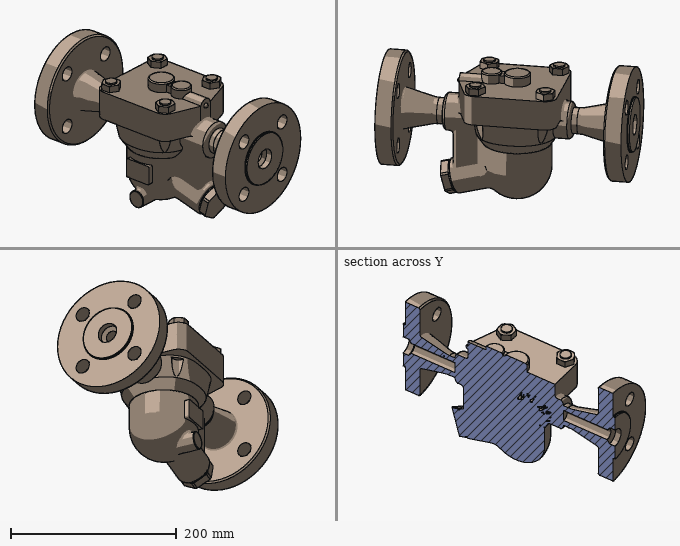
import cadquery as cq
import math


MARGIN = 0.3

FACE_TO_FACE = 309.0
FACE_DIA = 68.0
FACE_STEP = 0.8
FACE_STEP_LENGTH = 1.9
FACE_HEIGHT = 3.0
FLANGE_DIA = 140.0
FLANGE_THICKNESS = 22.0
FLANGE_CHAMFER = 2.0
HUB_DIA = 50.0
HUB_FILLET = 2.5
HUB_END_X = 91.1
WELD_END_X = 86.3
WELD_DIA = 32.5
PIPE_DIA = 32.0
NOSE_X = 79.2
NOSE_DIA = 35.5
NOSE_ROUND = 7.0
BOSS_X = 75.3
BOSS_DIA = 46.0
HOLE_CIRCLE_DIA = 100.0
HOLE_DIA = 18.0
HOLE_COUNT = 4
FIRST_HOLE_ANGLE = 45.0
BORE_DIA = 25.0
BORE_DEPTH = 8.0
CHANNEL_DIA = 15.0
CHANNEL_START = 11.5
CHANNEL_DEPTH = 75.0

BODY_X = -10.0
BOLT_OFFSET = 43.0
CORNER_RADIUS = 14.0
PLATE_BOTTOM = 7.0
PLATE_SEAM = 26.8
PLATE_TOP = 43.8
TIP_X = 60.2
TIP_HALF_WIDTH = 9.3
TIP_SLOPE = 20.0
PLATE_BOSS_FILLET = 3.5

NUT_FLATS = 21.0
NUT_CHAMFER_DIA = 22.0
NUT_CONE_ANGLE = 30.0
NUT_HEIGHT = 8.4
STUD_DIA = 14.0
STUD_HEIGHT = 10.3
SPOT_DIA = 18.0
SPOT_TOP = 4.5

KNOB_TOP = 56.4
KNOB_CHAMFER = 1.5
LARGE_KNOB_DIA = 32.0
SMALL_KNOB_DIA = 25.0
SMALL_KNOB_X = 21.7
WEB_WIDTH = 14.0
WEB_TOP = 53.5
DUCT_DIA = 18.0
DUCT_Z = 41.4
NUB_DIA = 6.4

VESSEL_RADIUS = 42.0
SPHERE_Z = -62.0
COLLAR_POINTS = 24
COLLAR_TOP_SIDE = 52.5
COLLAR_TOP_CORNER = 58.0
COLLAR_LOW_SIDE = 49.6
COLLAR_LOW_CORNER = 51.5
COLLAR_LOW_Z = -19.6
CONE_LOW_Z = -32.4
PAD_WIDTH = 36.0
PAD_TOP = -41.9
PAD_BOTTOM = -66.8
PAD_FACE_Y = -44.0
PAD_CORNER = 2.0

HOUSING_HALF_WIDTH = 17.0
HOUSING_END_X = 66.7
HOUSING_BOTTOM = -70.0
HOUSING_FOOT = 12.0
HOUSING_CORNER = 5.7
HOUSING_CHAMBER_FILLET = 15.0
HOUSING_BOSS_FILLET = 5.0
HOUSING_BRANCH_FILLET = 2.0

BRANCH_TILT = 15.0
BRANCH_RADIUS = 22.0
BRANCH_ROUND = 2.0
BRANCH_LENGTH = 80.0
BRANCH_FILLET = 16.5
GASKET_RADIUS = 19.5
PLUG_START = 81.8
PLUG_LENGTH = 9.6
PLUG_FLATS = 38.0
PLUG_ROUND_DIA = 42.3

DRAIN_DIA = 22.0
DRAIN_Z = -90.7
DRAIN_FACE_Y = -46.5
DRAIN_CHAMFER = 0.8
DRAIN_FILLET = 3.0


def upright_cylinder(x, y, diameter, bottom, top):
    return cq.Workplane("XY", origin=(x, y, bottom)).circle(diameter / 2).extrude(top - bottom)


def hexagon(plane, flats, height):
    return cq.Workplane(plane).polygon(6, flats / math.cos(math.pi / 6)).extrude(height)


def pipe_end():
    """Inlet flange, neck and boss, revolved about the pipe axis."""
    face_x = -FACE_TO_FACE / 2
    front_x = face_x + FACE_HEIGHT
    back_x = front_x + FLANGE_THICKNESS
    face_r = FACE_DIA / 2
    flange_r = FLANGE_DIA / 2
    hub_r = HUB_DIA / 2
    outline = (
        cq.Workplane("XY")
        .moveTo(face_x, 0)
        .lineTo(face_x, face_r - FACE_STEP)
        .lineTo(face_x + FACE_STEP_LENGTH, face_r - FACE_STEP)
        .lineTo(face_x + FACE_STEP_LENGTH, face_r)
        .lineTo(front_x, face_r)
        .lineTo(front_x, flange_r)
        .lineTo(back_x - FLANGE_CHAMFER, flange_r)
        .lineTo(back_x, flange_r - FLANGE_CHAMFER)
        .lineTo(back_x, hub_r + HUB_FILLET)
        .radiusArc((back_x + HUB_FILLET, hub_r), -HUB_FILLET)
        .lineTo(-HUB_END_X, WELD_DIA / 2)
        .lineTo(-WELD_END_X, WELD_DIA / 2)
        .lineTo(-WELD_END_X, PIPE_DIA / 2)
        .lineTo(-NOSE_X, PIPE_DIA / 2)
        .lineTo(-NOSE_X, NOSE_DIA / 2)
        .radiusArc((-BOSS_X, BOSS_DIA / 2), NOSE_ROUND)
        .lineTo(BODY_X, BOSS_DIA / 2)
        .lineTo(BODY_X, 0)
        .close()
    )
    end = outline.revolve(360, (0, 0, 0), (1, 0, 0))
    holes = (
        cq.Workplane("YZ", origin=(front_x, 0, 0))
        .polarArray(HOLE_CIRCLE_DIA / 2, FIRST_HOLE_ANGLE, 360, HOLE_COUNT)
        .circle(HOLE_DIA / 2)
        .extrude(FLANGE_THICKNESS)
    )
    return end.cut(holes)


def pipe_bore():
    """Stepped inlet bore with a conical shoulder, revolved about the pipe axis."""
    face_x = -FACE_TO_FACE / 2
    return (
        cq.Workplane("XY")
        .moveTo(face_x, 0)
        .lineTo(face_x, BORE_DIA / 2)
        .lineTo(face_x + BORE_DEPTH, BORE_DIA / 2)
        .lineTo(face_x + CHANNEL_START, CHANNEL_DIA / 2)
        .lineTo(face_x + CHANNEL_DEPTH, CHANNEL_DIA / 2)
        .lineTo(face_x + CHANNEL_DEPTH, 0)
        .close()
        .revolve(360, (0, 0, 0), (1, 0, 0))
    )


def both_ends(shape):
    return shape.union(shape.mirror("YZ"))


def plate(bottom, top):
    """Square plate with a blunt point over the outlet; its corners are round about the bolts."""
    slope = math.radians(TIP_SLOPE)
    left = BODY_X - BOLT_OFFSET
    right = BODY_X + BOLT_OFFSET
    edge_y = BOLT_OFFSET + CORNER_RADIUS
    slant_x = right + CORNER_RADIUS * math.cos(slope)
    slant_y = BOLT_OFFSET + CORNER_RADIUS * math.sin(slope)
    return (
        cq.Workplane("XY", origin=(0, 0, bottom))
        .moveTo(left, -edge_y)
        .lineTo(right, -edge_y)
        .radiusArc((slant_x, -slant_y), -CORNER_RADIUS)
        .lineTo(TIP_X, -TIP_HALF_WIDTH)
        .lineTo(TIP_X, TIP_HALF_WIDTH)
        .lineTo(slant_x, slant_y)
        .radiusArc((right, edge_y), -CORNER_RADIUS)
        .lineTo(left, edge_y)
        .radiusArc((left - CORNER_RADIUS, BOLT_OFFSET), -CORNER_RADIUS)
        .lineTo(left - CORNER_RADIUS, -BOLT_OFFSET)
        .radiusArc((left, -edge_y), -CORNER_RADIUS)
        .close()
        .extrude(top - bottom)
    )


def bolt_sides():
    """Signs of the four bolts along X and Y, seen from the chamber axis."""
    return [(side_x, side_y) for side_x in (-1, 1) for side_y in (-1, 1)]


def nut():
    """Nut with its upper corners turned to a cone, and the stud end standing out of it."""
    cone_angle = math.radians(NUT_CONE_ANGLE)
    cone_height = NUT_HEIGHT + NUT_CHAMFER_DIA / 2 * math.tan(cone_angle)
    cone = cq.Solid.makeCone(cone_height / math.tan(cone_angle), 0, cone_height)
    chamfered = hexagon("XY", NUT_FLATS, NUT_HEIGHT).intersect(cq.Workplane(cone))
    return chamfered.union(upright_cylinder(0, 0, STUD_DIA, 0, STUD_HEIGHT))


def bolt_nuts():
    """Four nuts on the cover; neighbouring nuts are turned by a quarter turn."""
    nuts = cq.Workplane("XY")
    for side_x, side_y in bolt_sides():
        turn = 0 if side_x == side_y else 90
        place = (BODY_X + side_x * BOLT_OFFSET, side_y * BOLT_OFFSET, PLATE_TOP)
        nuts = nuts.union(nut().rotate((0, 0, 0), (0, 0, 1), turn).translate(place))
    return nuts


def cover_bosses():
    """Two round knobs joined by a web, and a duct running to the tip of the cover."""
    knobs = cq.Workplane("XY")
    for x, diameter in ((BODY_X, LARGE_KNOB_DIA), (SMALL_KNOB_X, SMALL_KNOB_DIA)):
        knob = upright_cylinder(x, 0, diameter, PLATE_SEAM, KNOB_TOP)
        knobs = knobs.union(knob.faces(">Z").edges().chamfer(KNOB_CHAMFER))
    web = cq.Workplane("XY", origin=(BODY_X, 0, PLATE_SEAM)).box(
        SMALL_KNOB_X - BODY_X, WEB_WIDTH, WEB_TOP - PLATE_SEAM, centered=(False, True, False)
    )
    duct = (
        cq.Workplane("YZ", origin=(SMALL_KNOB_X, 0, DUCT_Z))
        .circle(DUCT_DIA / 2)
        .extrude(TIP_X - SMALL_KNOB_X)
    )
    nub = cq.Workplane("XY", origin=(TIP_X, 0, DUCT_Z)).sphere(NUB_DIA / 2)
    return knobs.union(web).union(duct).union(nub)


def collar_section(z, side_reach, corner_reach):
    """Superellipse about the chamber axis, reaching further at the corners than at the sides."""
    power = 1 / (0.5 - math.log2(corner_reach / side_reach))
    points = []
    for step in range(COLLAR_POINTS):
        angle = math.pi / 2 + 2 * math.pi * step / COLLAR_POINTS
        across = math.cos(angle)
        along = math.sin(angle)
        reach = side_reach / (abs(across) ** power + abs(along) ** power) ** (1 / power)
        points.append((reach * across, reach * along))
    return cq.Workplane("XY", origin=(BODY_X, 0, z)).spline(points, periodic=True).wire().val()


def collar():
    """Neck of the chamber below the cover, relieved under the bolts and tapering into the vessel."""
    top = collar_section(PLATE_BOTTOM, COLLAR_TOP_SIDE, COLLAR_TOP_CORNER)
    low = collar_section(COLLAR_LOW_Z, COLLAR_LOW_SIDE, COLLAR_LOW_CORNER)
    end = collar_section(CONE_LOW_Z, VESSEL_RADIUS, VESSEL_RADIUS)
    neck = cq.Workplane(cq.Solid.makeLoft([top, low], True))
    taper = cq.Workplane(cq.Solid.makeLoft([low, end], True))
    for side_x, side_y in bolt_sides():
        x = BODY_X + side_x * BOLT_OFFSET
        neck = neck.cut(upright_cylinder(x, side_y * BOLT_OFFSET, SPOT_DIA, COLLAR_LOW_Z, SPOT_TOP))
    return neck.union(taper)


def pad():
    height = PAD_TOP - PAD_BOTTOM
    return (
        cq.Workplane("XZ", origin=(BODY_X, 0, PAD_BOTTOM + height / 2))
        .rect(PAD_WIDTH, height)
        .extrude(-PAD_FACE_Y)
        .edges("|Y")
        .fillet(PAD_CORNER)
    )


def housing():
    """Upright block from the outlet boss down into the strainer branch."""
    block = cq.Workplane("XY", origin=(BODY_X, 0, HOUSING_BOTTOM)).box(
        HOUSING_END_X - BODY_X, 2 * HOUSING_HALF_WIDTH, -HOUSING_BOTTOM, centered=(False, True, False)
    )
    return block.edges("|Z and >X").fillet(HOUSING_CORNER)


def housing_blend():
    """Concave blend, in plan, between the round chamber and the sides of the housing."""
    reach = VESSEL_RADIUS + HOUSING_CHAMBER_FILLET
    center_y = HOUSING_HALF_WIDTH + HOUSING_CHAMBER_FILLET
    center_x = math.sqrt(reach**2 - center_y**2)
    touch = VESSEL_RADIUS / reach
    touch_x = BODY_X + center_x * touch
    touch_y = center_y * touch
    flat_x = BODY_X + center_x
    half = HOUSING_HALF_WIDTH
    return (
        cq.Workplane("XY", origin=(0, 0, HOUSING_BOTTOM))
        .moveTo(BODY_X, -touch_y)
        .lineTo(touch_x, -touch_y)
        .radiusArc((flat_x, -half), HOUSING_CHAMBER_FILLET)
        .lineTo(flat_x, half)
        .radiusArc((touch_x, touch_y), HOUSING_CHAMBER_FILLET)
        .lineTo(BODY_X, touch_y)
        .close()
        .extrude(COLLAR_LOW_Z - HOUSING_BOTTOM)
    )


def branch():
    """Round bottom of the chamber and strainer branch in one revolve along +X about the origin."""
    reach = VESSEL_RADIUS + BRANCH_FILLET
    fillet_x = math.sqrt(reach**2 - (BRANCH_RADIUS + BRANCH_FILLET) ** 2)
    touch = VESSEL_RADIUS / reach
    ball_point = (fillet_x * touch, (BRANCH_RADIUS + BRANCH_FILLET) * touch)
    return (
        cq.Workplane("XY")
        .moveTo(-VESSEL_RADIUS, 0)
        .threePointArc((0, VESSEL_RADIUS), ball_point)
        .radiusArc((fillet_x, BRANCH_RADIUS), -BRANCH_FILLET)
        .lineTo(BRANCH_LENGTH - BRANCH_ROUND, BRANCH_RADIUS)
        .radiusArc((BRANCH_LENGTH, BRANCH_RADIUS - BRANCH_ROUND), BRANCH_ROUND)
        .lineTo(BRANCH_LENGTH, GASKET_RADIUS)
        .lineTo(PLUG_START, GASKET_RADIUS)
        .lineTo(PLUG_START, 0)
        .close()
        .revolve(360, (0, 0, 0), (1, 0, 0))
    )


def plug():
    hexagon_part = hexagon("YZ", PLUG_FLATS, PLUG_LENGTH).rotate((0, 0, 0), (1, 0, 0), 90)
    rounding = cq.Workplane("YZ").circle(PLUG_ROUND_DIA / 2).extrude(PLUG_LENGTH)
    return hexagon_part.intersect(rounding).translate((PLUG_START, 0, 0))


def on_branch_axis(shape):
    return shape.rotate((0, 0, 0), (0, 1, 0), BRANCH_TILT).translate((BODY_X, 0, SPHERE_Z))


def drain():
    return (
        cq.Workplane("XZ", origin=(BODY_X, 0, DRAIN_Z))
        .circle(DRAIN_DIA / 2)
        .extrude(-DRAIN_FACE_Y)
        .faces("<Y")
        .chamfer(DRAIN_CHAMFER)
    )


def fillet_inside(shape, low, high, radius):
    """Round the edges that lie wholly inside the box between two corners."""
    box = cq.selectors.BoxSelector(low, high, boundingbox=True)
    return shape.edges(box).fillet(radius)


def fillet_plate_to_bosses(shape):
    boss_r = BOSS_DIA / 2 + MARGIN
    left_x = BODY_X - BOLT_OFFSET - CORNER_RADIUS
    slope_run = boss_r * math.tan(math.radians(TIP_SLOPE))
    sides = ((left_x, left_x), (TIP_X - slope_run, TIP_X))
    for start_x, end_x in sides:
        low = (start_x - MARGIN, -boss_r, PLATE_BOTTOM - MARGIN)
        high = (end_x + MARGIN, boss_r, boss_r)
        shape = fillet_inside(shape, low, high, PLATE_BOSS_FILLET)
    return shape


def fillet_housing(shape, bottom, top, radius):
    """Round the curved end of the housing where it meets a tube between two heights."""
    start_x = HOUSING_END_X - HOUSING_CORNER - MARGIN
    half = HOUSING_HALF_WIDTH + MARGIN
    return fillet_inside(shape, (start_x, -half, bottom), (HOUSING_END_X + MARGIN, half, top), radius)


def fillet_drain(shape):
    radius = DRAIN_DIA / 2 + MARGIN
    low = (BODY_X - radius, -VESSEL_RADIUS, DRAIN_Z - radius)
    high = (BODY_X + radius, 0, DRAIN_Z + radius)
    return fillet_inside(shape, low, high, DRAIN_FILLET)


vessel = upright_cylinder(BODY_X, 0, 2 * VESSEL_RADIUS, SPHERE_Z, CONE_LOW_Z)
vessel = vessel.union(on_branch_axis(branch()))
vessel = fillet_drain(vessel.union(drain()))
vessel = vessel.union(housing_blend()).union(pad())

body = plate(PLATE_BOTTOM, PLATE_SEAM).union(both_ends(pipe_end()))
body = fillet_plate_to_bosses(body)
body = body.union(housing())
body = fillet_housing(body, -BOSS_DIA / 2 - MARGIN, 0, HOUSING_BOSS_FILLET)
body = body.union(vessel)
body = fillet_housing(body, HOUSING_BOTTOM, HOUSING_BOTTOM + HOUSING_FOOT, HOUSING_BRANCH_FILLET)
body = body.union(collar()).union(on_branch_axis(plug()))

cover = plate(PLATE_SEAM, PLATE_TOP).union(cover_bosses()).union(bolt_nuts())
result = body.union(cover, clean=False).cut(both_ends(pipe_bore()), clean=False)